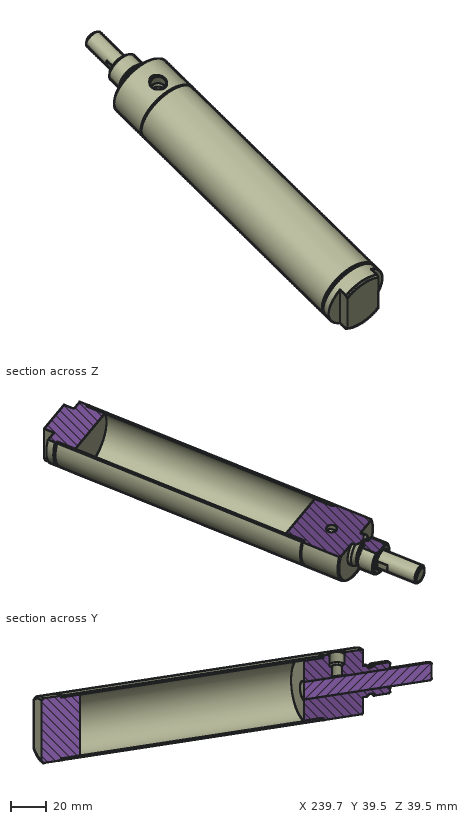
import cadquery as cq
import math

neck_start = 25.5
neck_end = 35.5
shoulder_start = 40.0
head_face = 42.2
tube_start = 66.6
tube_end = 228.0
overall_length = 239.7

body_diameter = 39.5
body_radius = body_diameter / 2
neck_radius = 9.5
relief_radius = 8.5
groove_radius = 8.0
rod_radius = 5.5

rod_tip_chamfer = 1.0
flat_start = 18.7
flat_width = 9.8

neck_chamfer = 1.0
bore_chamfer = 1.0
head_chamfer = 0.7
relief_length = 1.2
groove_x = 37.6

port_x = 58.3
port_diameter = 8.9
port_chamfer = 1.0
port_depth = 7.2
orifice_diameter = 5.8
drill_point_angle = 118.0

tube_wall = 1.5
spigot_length = 12.0

tang_width = 22.8
tang_length = 6.5
tang_chamfer = 1.2

joint_chamfer_length = 0.7
joint_chamfer_depth = 0.2

tube_bore_radius = body_radius - tube_wall
rod_end = tube_start + spigot_length


def revolve_about_x(points):
    """Turn a profile of (x, radius) points about the X axis."""
    return cq.Workplane("XY").polyline(points).close().revolve(360, (0, 0, 0), (1, 0, 0))


def make_rod():
    rod = revolve_about_x([
        (0, 0),
        (0, rod_radius - rod_tip_chamfer),
        (rod_tip_chamfer, rod_radius),
        (rod_end, rod_radius),
        (rod_end, 0),
    ])
    flat_length = neck_start - flat_start
    for side in (-1, 1):
        beyond_flat = cq.Workplane("XY").box(flat_length, rod_radius, 2 * rod_radius).translate(
            (flat_start + flat_length / 2, side * (flat_width + rod_radius) / 2, 0)
        )
        rod = rod.cut(beyond_flat)
    return rod


def make_port():
    """Drilled port with a conical floor and a small orifice down to the rod."""
    port_radius = port_diameter / 2
    orifice_radius = orifice_diameter / 2
    cone_top = body_radius - port_depth
    cone_bottom = cone_top - (port_radius - orifice_radius) / math.tan(math.radians(drill_point_angle / 2))
    profile = [
        (0, 0),
        (orifice_radius, 0),
        (orifice_radius, cone_bottom),
        (port_radius, cone_top),
        (port_radius, body_radius - port_chamfer),
        (port_radius + port_chamfer, body_radius),
        (0, body_radius),
    ]
    port = cq.Workplane("XZ").polyline(profile).close().revolve(360, (0, 0, 0), (0, 1, 0))
    return port.translate((port_x, 0, 0))


def make_front_head():
    head = revolve_about_x([
        (neck_start, rod_radius + bore_chamfer),
        (neck_start, neck_radius - neck_chamfer),
        (neck_start + neck_chamfer, neck_radius),
        (neck_end, neck_radius),
        (neck_end, relief_radius),
        (neck_end + relief_length, relief_radius),
        (groove_x, groove_radius),
        (shoulder_start, neck_radius),
        (head_face, neck_radius),
        (head_face, body_radius - head_chamfer),
        (head_face + head_chamfer, body_radius),
        (tube_start, body_radius),
        (tube_start, tube_bore_radius),
        (rod_end, tube_bore_radius),
        (rod_end, rod_radius),
        (neck_start + bore_chamfer, rod_radius),
    ])
    return head.cut(make_port())


def make_tube():
    chamfered_radius = body_radius - joint_chamfer_depth
    return revolve_about_x([
        (tube_start, tube_bore_radius),
        (tube_start, chamfered_radius),
        (tube_start + joint_chamfer_length, body_radius),
        (tube_end - joint_chamfer_length, body_radius),
        (tube_end, chamfered_radius),
        (tube_end, tube_bore_radius),
    ])


def make_rear_cap():
    spigot_start = tube_end - spigot_length
    cap = revolve_about_x([
        (spigot_start, 0),
        (spigot_start, tube_bore_radius),
        (tube_end, tube_bore_radius),
        (tube_end, body_radius - joint_chamfer_depth),
        (tube_end + joint_chamfer_length, body_radius),
        (overall_length - tang_chamfer, body_radius),
        (overall_length, body_radius - tang_chamfer),
        (overall_length, 0),
    ])
    for side in (-1, 1):
        beside_tang = cq.Workplane("XY").box(tang_length, body_radius, 2 * body_radius).translate(
            (overall_length - tang_length / 2, side * (tang_width + body_radius) / 2, 0)
        )
        cap = cap.cut(beside_tang)
    return cap


rod = make_rod()
front_head = make_front_head()
tube = make_tube()
rear_cap = make_rear_cap()

result = cq.Compound.makeCompound([rod.val(), front_head.val(), tube.val(), rear_cap.val()])